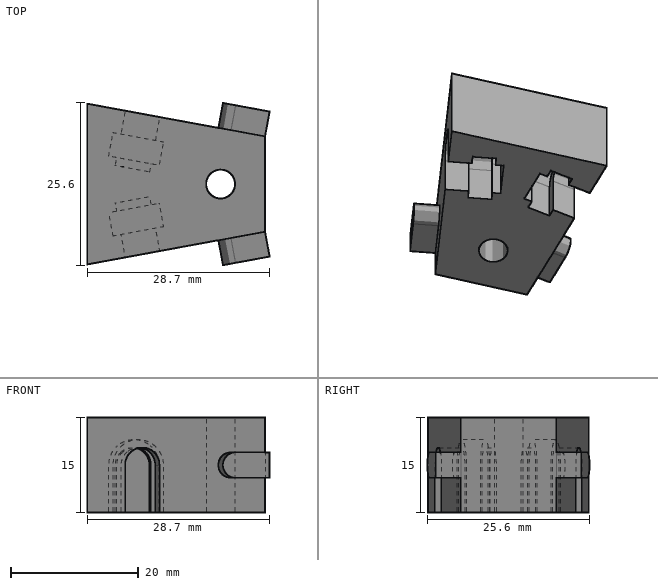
import cadquery as cq
import math

block_length = 28.0
block_height = 15.0
wide_half_width = 12.67
narrow_half_width = 7.5
mid_height = block_height / 2
taper_angle = math.degrees(math.atan((wide_half_width - narrow_half_width) / block_length))
side_length = math.hypot(block_length, wide_half_width - narrow_half_width)

hole_diameter = 4.5
hole_x = 21.0

lug_width = 4.0
lug_length = 7.5
lug_projection = 4.0

slot_x = 8.67
slot_along_side = slot_x / math.cos(math.radians(taper_angle))
slot_radius = 2.75
slot_depth = 8.75
head_radius = slot_radius + 1.3
head_start_depth = 3.73
head_end_depth = 7.47


def side_plane(depth=0):
    """Plane parallel to the -Y side, sunk by depth; x runs along the side, y up, normal outward."""
    angle = math.radians(taper_angle)
    along = cq.Vector(math.cos(angle), math.sin(angle), 0)
    outward = cq.Vector(math.sin(angle), -math.cos(angle), 0)
    corner = cq.Vector(0, -wide_half_width, 0)
    return cq.Plane(origin=corner - outward * depth, xDir=along, normal=outward)


def arch(radius, start_depth, end_depth):
    """Upright arch-shaped cutter between two depths behind the -Y side."""
    left = slot_along_side - radius
    right = slot_along_side + radius
    return (
        cq.Workplane(side_plane(end_depth))
        .moveTo(left, 0)
        .lineTo(right, 0)
        .lineTo(right, mid_height)
        .threePointArc((slot_along_side, mid_height + radius), (left, mid_height))
        .close()
        .extrude(end_depth - start_depth)
    )


def lug():
    """Lug on the -Y side with a half-round end facing the wide end of the block."""
    nose_radius = lug_width / 2
    nose_tip = side_length - lug_length
    nose_center = nose_tip + nose_radius
    top = mid_height + nose_radius
    bottom = mid_height - nose_radius
    return (
        cq.Workplane(side_plane())
        .moveTo(side_length, bottom)
        .lineTo(side_length, top)
        .lineTo(nose_center, top)
        .threePointArc((nose_tip, mid_height), (nose_center, bottom))
        .close()
        .extrude(lug_projection)
    )


block = (
    cq.Workplane("XY")
    .polyline([
        (0, -wide_half_width),
        (block_length, -narrow_half_width),
        (block_length, narrow_half_width),
        (0, wide_half_width),
    ])
    .close()
    .extrude(block_height)
)
hole = cq.Workplane("XY").center(hole_x, 0).circle(hole_diameter / 2).extrude(block_height)

side_lug = lug()
bolt_slot = arch(slot_radius, 0, slot_depth)
head_pocket = arch(head_radius, head_start_depth, head_end_depth)
side_recess = bolt_slot.union(head_pocket)

result = (
    block.union(side_lug)
    .union(side_lug.mirror("XZ"))
    .cut(side_recess)
    .cut(side_recess.mirror("XZ"))
    .cut(hole)
)